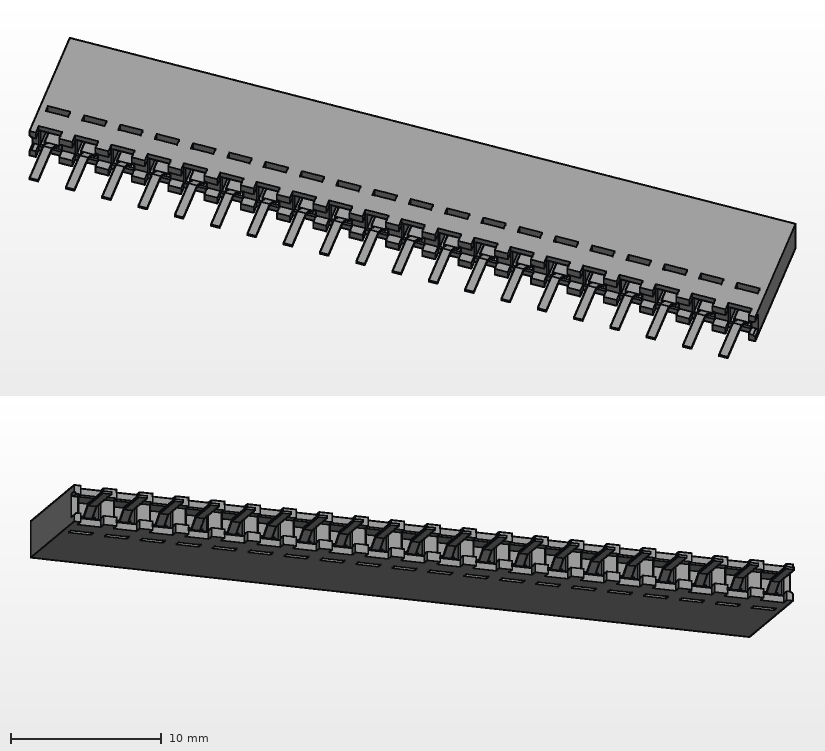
import cadquery as cq

PIN_COUNT = 20
LENGTH = 50.8
PITCH = LENGTH / PIN_COUNT
HEIGHT = 2.55
OVERALL_DEPTH = 11.4
BODY_DEPTH = 8.5
PIN_REACH = OVERALL_DEPTH - BODY_DEPTH

RECESS_DEPTH = 0.6
GROOVE_HEIGHT = 1.3
CELL_WIDTH = 1.65
GROOVE_END_CHAMFER = 0.15

MOUTH_HEIGHT = 1.65
MOUTH_CHAMFER = 0.1
MOUTH_ANGLE = 45
POCKET_WIDTH = CELL_WIDTH - 2 * MOUTH_CHAMFER
POCKET_HEIGHT = MOUTH_HEIGHT - 2 * MOUTH_CHAMFER

SLOT_LENGTH = 0.45
SLOT_FRONT = 2.0
SLOT_WIDTH = 1.6
POCKET_BACK = SLOT_FRONT + SLOT_LENGTH

PIN_WIDTH = 0.6
PIN_THICKNESS = 0.15
FOOT_WIDTH = 1.0
RAMP_LENGTH = 0.85
ANCHOR_DEPTH = 0.25

MID_Z = HEIGHT / 2
FLOOR_Z = MID_Z - POCKET_HEIGHT / 2


def block(x_size, y_start, y_end, z_start, z_end):
    """Box centred on X = 0 between the given Y and Z limits."""
    return cq.Workplane("XY").box(
        x_size, y_end - y_start, z_end - z_start, centered=(True, False, False)
    ).translate((0, y_start, z_start))


def make_pocket():
    """Contact pocket with a tapered mouth opening into the cell recess."""
    pocket = block(POCKET_WIDTH, RECESS_DEPTH, POCKET_BACK, FLOOR_Z, FLOOR_Z + POCKET_HEIGHT)
    mouth = (
        cq.Workplane("XZ", origin=(0, RECESS_DEPTH, MID_Z))
        .rect(CELL_WIDTH, MOUTH_HEIGHT)
        .extrude(-MOUTH_CHAMFER, taper=MOUTH_ANGLE)
    )
    return pocket.union(mouth)


def make_groove():
    """Groove along the row, chamfered where it breaks out through both end faces."""
    half_length = LENGTH / 2
    half_height = GROOVE_HEIGHT / 2
    inner_x = half_length - GROOVE_END_CHAMFER
    outer_z = half_height + GROOVE_END_CHAMFER
    return (
        cq.Workplane("XZ", origin=(0, 0, MID_Z))
        .polyline([(-half_length, -outer_z), (-inner_x, -half_height),
                   (inner_x, -half_height), (half_length, -outer_z),
                   (half_length, outer_z), (inner_x, half_height),
                   (-inner_x, half_height), (-half_length, outer_z)])
        .close()
        .extrude(-RECESS_DEPTH)
    )


def make_contact():
    """Bent strip from the pocket floor up to the pin, with a wider foot."""
    foot_top = FLOOR_Z + PIN_THICKNESS
    pin_bottom = MID_Z - PIN_THICKNESS / 2
    pin_top = pin_bottom + PIN_THICKNESS
    back = POCKET_BACK + ANCHOR_DEPTH
    strip = (
        cq.Workplane("YZ")
        .polyline([(-PIN_REACH, pin_bottom), (0, pin_bottom), (RAMP_LENGTH, FLOOR_Z),
                   (back, FLOOR_Z), (back, foot_top), (RAMP_LENGTH, foot_top),
                   (0, pin_top), (-PIN_REACH, pin_top)])
        .close()
        .extrude(PIN_WIDTH / 2, both=True)
    )
    foot = block(FOOT_WIDTH, RAMP_LENGTH, SLOT_FRONT, FLOOR_Z, foot_top)
    return strip.union(foot)


cell_cutter = (
    block(CELL_WIDTH, 0, RECESS_DEPTH, 0, HEIGHT)
    .union(make_pocket())
    .union(block(SLOT_WIDTH, SLOT_FRONT, POCKET_BACK, 0, HEIGHT))
)
contact = make_contact()
cell_centres = [((i - (PIN_COUNT - 1) / 2) * PITCH, 0, 0) for i in range(PIN_COUNT)]

body = block(LENGTH, 0, BODY_DEPTH, 0, HEIGHT)
result = body.cut(make_groove())
for centre in cell_centres:
    result = result.cut(cell_cutter.translate(centre))
for centre in cell_centres:
    result = result.union(contact.translate(centre))